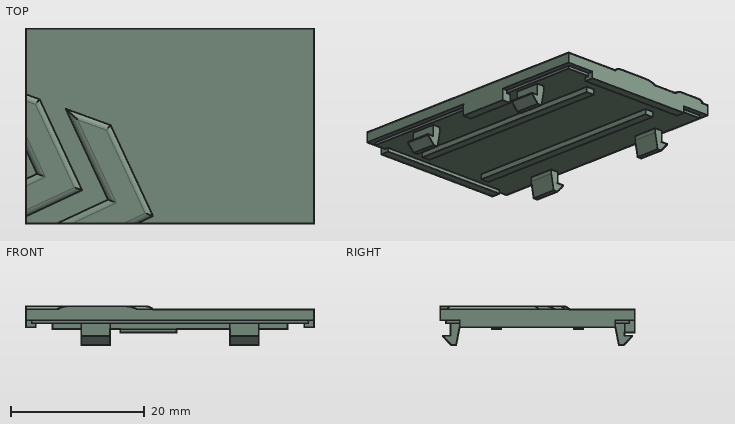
import cadquery as cq
import math

length = 43.2
width = 29.2
total_height = 5.85
plate_bottom = 3.7
plate_top = 5.35

step_inset = 0.85
step_bottom = 3.25

lip_thickness = 1.5
lip_bottom = 2.65
left_lip_length = 19.2
right_lip_length = 23.33

rib_length = 35.25
rib_width = 1.45
rib_spacing = 12.3
rib_bottom = 2.38
tab_start = 14.13
tab_length = 8.45
tab_thickness = 1.55
tab_bottom = 1.85

clip_length = 4.3
clip_spacing = 22.3
clip_outer = 1.55
clip_inner = 2.95
clip_taper_top = 2.65
catch_edge = 0.45
catch_top = 1.43
catch_edge_height = 0.15
clip_tip_outer = 1.65
clip_tip_inner = 2.4

chevron_tilt = -20
chevron_tip = (19.05, 1.12)
chevron_pitch = 11.3
chevron_count = 2
chevron_depth = 7.15
chevron_half_span = 10.63
edge_round_width = 0.9
chevron_height = total_height - plate_top
overlap = 0.45


def block(x_min, x_max, y_min, y_max, bottom, top):
    """Box given by its limits."""
    box = cq.Workplane("XY").box(x_max - x_min, y_max - y_min, top - bottom, centered=False)
    return box.translate((x_min, y_min, bottom))


def lip(x_min, lip_length):
    """End lip centred across the plate."""
    y_min = (width - lip_length) / 2
    return block(x_min, x_min + lip_thickness, y_min, y_min + lip_length, lip_bottom, plate_bottom)


def rib(y_center):
    """Long rib under the panel."""
    x_min = (length - rib_length) / 2
    y_min = y_center - rib_width / 2
    return block(x_min, x_min + rib_length, y_min, y_min + rib_width, rib_bottom, step_bottom)


def front_clip(x_center):
    """Snap clip with its catch facing the front edge."""
    profile = [
        (clip_outer, step_bottom),
        (clip_outer, catch_top),
        (catch_edge, catch_top),
        (catch_edge, catch_top - catch_edge_height),
        (clip_tip_outer, 0),
        (clip_tip_inner, 0),
        (clip_inner, clip_taper_top),
        (clip_inner, step_bottom),
    ]
    clip = cq.Workplane("YZ").polyline(profile).close().extrude(clip_length)
    return clip.translate((x_center - clip_length / 2, 0, 0))


def rounded_band(band_width):
    """Long bar along X, from Y = 0 to band_width, with convex rounding along both top edges."""
    round_angle = 2 * math.atan(chevron_height / edge_round_width)
    radius = edge_round_width / math.sin(round_angle)
    mid_run = radius * math.sin(round_angle / 2)
    mid_drop = radius * (1 - math.cos(round_angle / 2))
    reach = 4 * chevron_half_span
    return (
        cq.Workplane("YZ")
        .moveTo(0, -overlap)
        .lineTo(0, 0)
        .threePointArc(
            (edge_round_width - mid_run, chevron_height - mid_drop),
            (edge_round_width, chevron_height),
        )
        .lineTo(band_width - edge_round_width, chevron_height)
        .threePointArc(
            (band_width - edge_round_width + mid_run, chevron_height - mid_drop),
            (band_width, 0),
        )
        .lineTo(band_width, -overlap)
        .close()
        .extrude(reach / 2, both=True)
    )


def chevron():
    """Right-angled chevron pointing along +X with its outer tip at the origin."""
    arm = rounded_band(chevron_depth * math.sin(math.radians(45)))
    arm = arm.rotate((0, 0, 0), (0, 0, 1), 135)
    ends = rounded_band(2 * chevron_half_span).translate((0, -chevron_half_span, 0))
    upper_side = block(-length, length, 0, width, -overlap, chevron_height)
    upper_arm = arm.intersect(ends).intersect(upper_side)
    return upper_arm.union(upper_arm.mirror("XZ"))


result = block(0, length, 0, width, plate_bottom, plate_top)
result = result.union(
    block(step_inset, length - step_inset, step_inset, width - step_inset, step_bottom, plate_bottom)
)
result = result.union(lip(0, left_lip_length))
result = result.union(lip(length - lip_thickness, right_lip_length))
result = result.union(
    block(tab_start, tab_start + tab_length, width - tab_thickness, width, tab_bottom, plate_bottom)
)
for side in (-1, 1):
    result = result.union(rib(width / 2 + side * rib_spacing / 2))
    clip = front_clip(length / 2 + side * clip_spacing / 2)
    rear_clip = clip.mirror("XZ", (0, width / 2, 0))
    result = result.union(clip).union(rear_clip)

plate_outline = block(0, length, 0, width, 0, total_height)
tilted_chevron = chevron().rotate((0, 0, 0), (0, 0, 1), chevron_tilt)
for index in range(chevron_count):
    shift = index * chevron_pitch
    tip_x = chevron_tip[0] - shift * math.cos(math.radians(chevron_tilt))
    tip_y = chevron_tip[1] - shift * math.sin(math.radians(chevron_tilt))
    placed = tilted_chevron.translate((tip_x, tip_y, plate_top))
    result = result.union(placed.intersect(plate_outline))